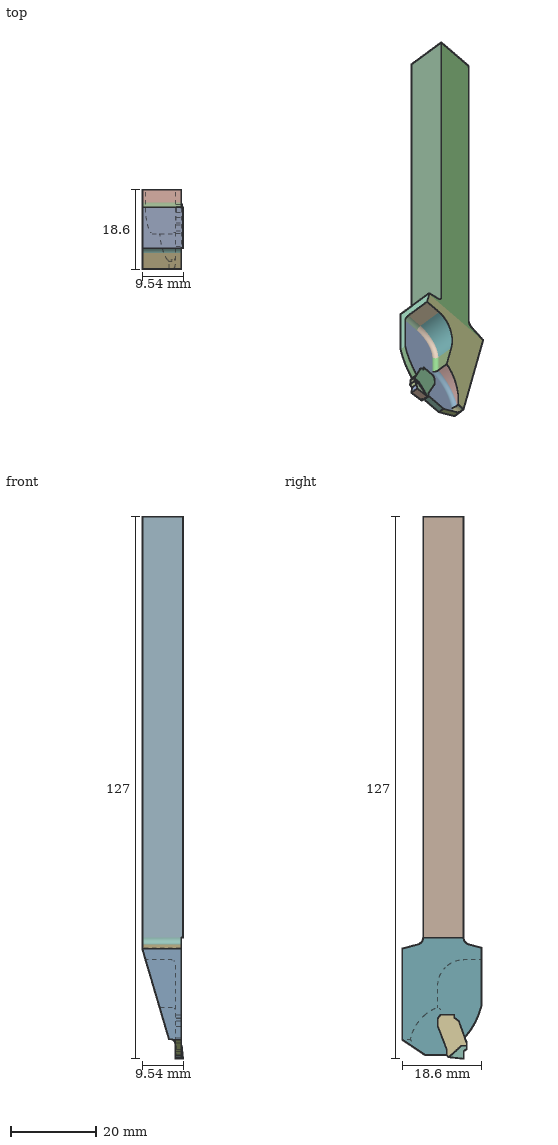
import cadquery as cq
import math

total_height = 127.0
shank_size = 9.525
shank_half = shank_size / 2
shank_bottom_z = 28.4

blade_width = 18.6
blade_thickness = 9.15
blade_rear_y = 8.93
blade_front_y = blade_rear_y - blade_width
shoulder_slope = math.radians(15)
shoulder_radius = 1.6

floor_z = 0.9
floor_rear_y = 1.5
floor_front_y = -4.3
chin_z = 4.5
rear_curve_start = (blade_rear_y, 12.4)
rear_curve_middle = (7.08, 7.84)
rear_curve_end = (5.1, 5.1)

slope_top_z = 25.6
slope_foot_x = 6.2
slope_foot_z = 4.6
slope_per_height = slope_foot_x / (slope_top_z - slope_foot_z)

web_face_x = 7.65
pocket_top_z = 23.3
pocket_wall_y = -1.42
pocket_corner_radius = 6.2
pocket_fillet = 1.0
bulge_center = (2.2, 2.6)
bulge_radius = 10.2

insert_tip = (4.78, 0.0)
tip_front = (1.2, 0.4)
rake_inner = (insert_tip[0], 1.8)
rake_outer = (5.5, 2.3)
insert_outline = [
    (2.5, 10.3),
    (-0.7, 10.3),
    (-1.3, 9.5),
    (-1.3, 7.65),
    (0.75, 2.3),
    (0.75, floor_z),
    tip_front,
    insert_tip,
    rake_inner,
    rake_outer,
    (rake_outer[0], 3.8),
    (5.16, 4.6),
    (3.6, 8.9),
    (2.5, 9.7),
]
head_top_z = 3.06
head_outline = [
    (rake_outer[0], head_top_z),
    (4.2, head_top_z),
    (2.1, 1.15),
    tip_front,
    insert_tip,
    rake_inner,
    rake_outer,
]
head_max_x = 9.54
head_side_relief = 0.3

overrun = 5.0
cut_rear_y = blade_rear_y + overrun
cut_front_y = blade_front_y - overrun
cut_end_x = blade_thickness + overrun


def extrude_x(outline, start_x, end_x):
    """Extrude a closed (Y, Z) outline between two X stations."""
    return outline.extrude(end_x - start_x).translate((start_x, 0, 0))


def polygon_x(points, start_x, end_x):
    """Straight-sided (Y, Z) prism between two X stations."""
    return extrude_x(cq.Workplane("YZ").polyline(points).close(), start_x, end_x)


def polygon_y(points):
    """Straight-sided (X, Z) prism reaching past both edges of the blade."""
    sketch = cq.Workplane("XZ", origin=(0, cut_rear_y, 0)).polyline(points).close()
    return sketch.extrude(cut_rear_y - cut_front_y)


def circle_point(center, radius, angle):
    return (center[0] + radius * math.cos(angle), center[1] + radius * math.sin(angle))


def make_shank():
    base = cq.Workplane("XY", origin=(shank_half, 0, shank_bottom_z))
    return base.rect(shank_size, shank_size).extrude(total_height - shank_bottom_z)


def shoulder_points(side, edge_y):
    """Fillet start, middle and end, then the outer corner; side is +1 at the rear, -1 at the front."""
    center = (shank_half + shoulder_radius, shank_bottom_z)
    start_angle = math.pi
    end_angle = 1.5 * math.pi - shoulder_slope
    angles = (start_angle, (start_angle + end_angle) / 2, end_angle)
    fillet = [circle_point(center, shoulder_radius, angle) for angle in angles]
    end_y, end_z = fillet[-1]
    corner_z = end_z - (abs(edge_y) - end_y) * math.tan(shoulder_slope)
    return [(side * y, z) for y, z in fillet] + [(edge_y, corner_z)]


def make_blade_blank():
    front_start, front_middle, front_end, front_corner = shoulder_points(-1, blade_front_y)
    rear_start, rear_middle, rear_end, rear_corner = shoulder_points(1, blade_rear_y)
    outline = (
        cq.Workplane("YZ")
        .moveTo(*front_start)
        .threePointArc(front_middle, front_end)
        .lineTo(*front_corner)
        .lineTo(blade_front_y, chin_z)
        .lineTo(floor_front_y, floor_z)
        .lineTo(floor_rear_y, floor_z)
        .lineTo(*rear_curve_end)
        .threePointArc(rear_curve_middle, rear_curve_start)
        .lineTo(*rear_corner)
        .lineTo(*rear_end)
        .threePointArc(rear_middle, rear_start)
        .close()
    )
    return extrude_x(outline, 0, blade_thickness)


def make_slope_cut():
    return polygon_y([(0, slope_top_z), (slope_per_height * slope_top_z, 0), (0, 0)])


def make_pocket():
    """Pocket volume; rounding its floor edge leaves a fillet between web and wall."""
    corner_center = (pocket_wall_y + pocket_corner_radius, pocket_top_z - pocket_corner_radius)
    corner_middle = circle_point(corner_center, pocket_corner_radius, math.radians(135))

    bulge_start = math.acos((pocket_wall_y - bulge_center[0]) / bulge_radius)
    bulge_end = math.pi - math.asin((slope_foot_z - bulge_center[1]) / bulge_radius)
    bulge_middle = (bulge_start + bulge_end) / 2

    outline = (
        cq.Workplane("YZ")
        .moveTo(cut_rear_y, pocket_top_z)
        .lineTo(corner_center[0], pocket_top_z)
        .threePointArc(corner_middle, (pocket_wall_y, corner_center[1]))
        .lineTo(*circle_point(bulge_center, bulge_radius, bulge_start))
        .threePointArc(
            circle_point(bulge_center, bulge_radius, bulge_middle),
            circle_point(bulge_center, bulge_radius, bulge_end),
        )
        .lineTo(cut_front_y, slope_foot_z)
        .lineTo(cut_front_y, -overrun)
        .lineTo(cut_rear_y, -overrun)
        .close()
    )
    pocket = extrude_x(outline, -overrun, web_face_x)
    wall_edges = [
        edge
        for edge in pocket.faces(">X").edges().vals()
        if cut_front_y < round(edge.Center().y, 3) < cut_rear_y and edge.Center().z > 0
    ]
    return pocket.newObject(wall_edges).fillet(pocket_fillet)


def make_holder():
    insert_seat = polygon_x(insert_outline, 0, cut_end_x)
    blade = make_blade_blank().cut(make_slope_cut()).cut(make_pocket()).cut(insert_seat)
    return make_shank().union(blade)


def make_insert():
    """Body as thick as the web, with a cutting head that widens down to the tip."""
    head_space = polygon_x(head_outline, 0, cut_end_x)
    body = polygon_x(insert_outline, web_face_x, blade_thickness).cut(head_space)
    head_section = polygon_y([
        (web_face_x + head_side_relief, head_top_z),
        (web_face_x, 0),
        (head_max_x, 0),
        (head_max_x - head_side_relief, head_top_z),
    ])
    return body.union(head_space.intersect(head_section))


holder = make_holder()
insert = make_insert()
result = cq.Compound.makeCompound([holder.solids().val(), insert.solids().val()])